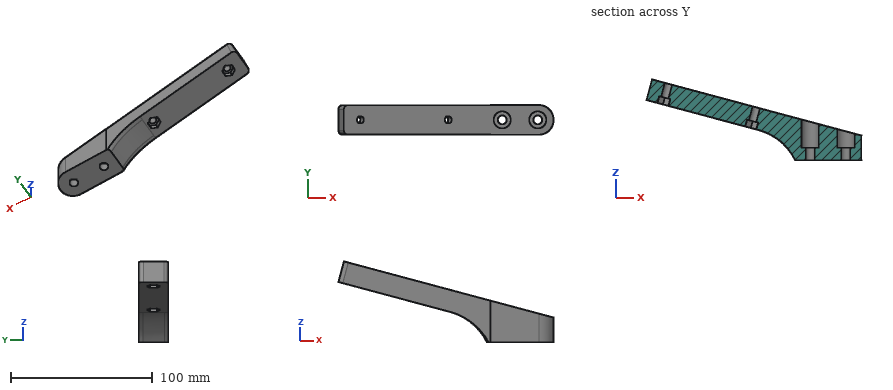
import cadquery as cq
import math

length = 151.7
width = 21.1
height = 57.2

slope = math.radians(15)
arm_thickness = 15.2
arm_width = 20.8
corner_radius = 3.0

arch_radius = 40.0
arch_start = 81.8
flat_half = width / 2 - corner_radius
clearance = 75.9
edge_growth = 4.2
corner_sections = 6

foot_start = 106.3
foot_corner_radius = 1.2
foot_radius = width / 2

arm_hole_diameter = 5.0
arm_hole_distances = (12.1, 76.2)
nut_across_corners = 9.1
nut_pocket_depth = 5.0
bolt_diameter = 6.0
counterbore_diameter = 12.0
counterbore_floor = 9.1
bolt_spacing = 25.0
last_bolt_x = 140.5

top_x = arm_thickness * math.sin(slope)
underside_z = height - arm_thickness * math.cos(slope)
foot_end_z = height - (length - top_x) * math.tan(slope)


def underside_point(along, drop=0.0):
    """X, Z of a point along the underside line and a drop square to it."""
    x = along * math.cos(slope) - drop * math.sin(slope)
    z = underside_z - along * math.sin(slope) - drop * math.cos(slope)
    return x, z


def side_profile():
    """Outline before the arch is cut, with a square step where the arch starts."""
    arch_x, arch_z = underside_point(arch_start)
    return [
        (top_x, height),
        (length, foot_end_z),
        (length, 0),
        (arch_x - arch_z * math.tan(slope), 0),
        (arch_x, arch_z),
        (0, underside_z),
    ]


def arch_section(y, growth):
    """Region under the arch at one Y, with the arch radius grown."""
    radius = arch_radius + growth
    diagonal = math.sqrt(0.5) * radius
    plane = cq.Plane(origin=(0, y, 0), xDir=(1, 0, 0), normal=(0, -1, 0))
    return (
        cq.Workplane(plane)
        .moveTo(*underside_point(arch_start))
        .threePointArc(
            underside_point(arch_start + diagonal, radius - diagonal),
            underside_point(arch_start + radius, radius),
        )
        .lineTo(*underside_point(arch_start + radius, clearance))
        .lineTo(*underside_point(arch_start, clearance))
        .close()
    )


def rounded_arch_edge(side):
    """Space under one side, where the arch edge is rounded by a growing radius."""
    reach = arm_width / 2 - flat_half
    wires = []
    for index in range(corner_sections):
        offset = reach * index / (corner_sections - 1)
        growth = edge_growth * (1 - math.sqrt(1 - (offset / corner_radius) ** 2))
        section = arch_section(side * (flat_half + offset), growth)
        wires.append(section.val())
    return cq.Workplane(cq.Solid.makeLoft(wires))


def make_arm():
    arm = cq.Workplane("XZ").polyline(side_profile()).close().extrude(arm_width / 2, both=True)
    arm = arm.cut(arch_section(flat_half, 0).extrude(2 * flat_half))
    for side in (-1, 1):
        arm = arm.cut(rounded_arch_edge(side))
    end_center = (top_x / 2, 0, (height + underside_z) / 2)
    end_corners = arm.faces(cq.selectors.NearestToPointSelector(end_center)).edges("not |Y")
    return end_corners.fillet(corner_radius)


def make_foot():
    """Straight-sided plan with a round end, trimmed by the sloping top."""
    round_center = length - foot_radius
    plan = (
        cq.Workplane("XY")
        .moveTo(foot_start, -foot_radius)
        .lineTo(round_center, -foot_radius)
        .threePointArc((length, 0), (round_center, foot_radius))
        .lineTo(foot_start, foot_radius)
        .close()
        .extrude(height)
        .edges("|Z and <X")
        .fillet(foot_corner_radius)
    )
    envelope = cq.Workplane("XZ").polyline(side_profile()).close().extrude(width, both=True)
    return plan.intersect(envelope)


def make_body():
    arm_limit = cq.Workplane("XY").box(
        length - foot_radius, width, height, centered=(False, True, False)
    )
    return make_arm().intersect(arm_limit).union(make_foot())


def cut_arm_holes(body):
    top_plane = cq.Plane(
        origin=(top_x, 0, height),
        xDir=(0, 1, 0),
        normal=(math.sin(slope), 0, math.cos(slope)),
    )
    centers = [(0, -distance) for distance in arm_hole_distances]
    holes = cq.Workplane(top_plane).pushPoints(centers).circle(arm_hole_diameter / 2)
    pockets = (
        cq.Workplane(top_plane)
        .workplane(offset=nut_pocket_depth - arm_thickness)
        .pushPoints(centers)
        .polygon(6, nut_across_corners)
        .extrude(-2 * nut_pocket_depth)
    )
    return body.cut(holes.extrude(-2 * arm_thickness)).cut(pockets)


def cut_bolt_holes(body):
    for x in (last_bolt_x - bolt_spacing, last_bolt_x):
        bolt = cq.Workplane("XY").center(x, 0).circle(bolt_diameter / 2).extrude(height)
        counterbore = (
            cq.Workplane("XY", origin=(x, 0, counterbore_floor))
            .circle(counterbore_diameter / 2)
            .extrude(height)
        )
        body = body.cut(bolt).cut(counterbore)
    return body


result = cut_bolt_holes(cut_arm_holes(make_body()))